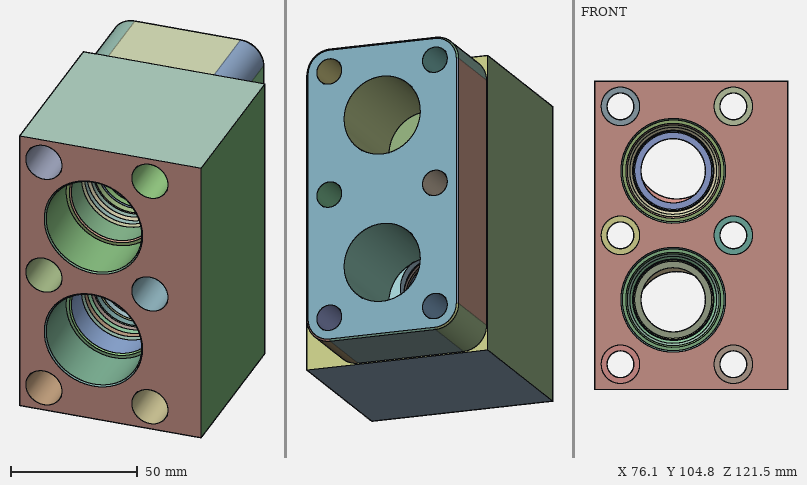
import cadquery as cq
import math

BLOCK_WIDTH = 76.1
BLOCK_DEPTH = 72.9
BLOCK_HEIGHT = 121.5

BOSS_WIDTH = 63.8
BOSS_HEIGHT = 120.5
BOSS_LENGTH = 31.9
BOSS_LEFT_INSET = 0.5
BOSS_CORNER_RADIUS = 9.7
BOSS_END_CHAMFER = 0.7

BOLT_PITCH_X = 44.5
BOLT_PITCH_Z = 50.8
BOLT_LEFT_X = 10.2
BOLT_DIAMETER = 10.5
COUNTERBORE_DIAMETER = 15.2
COUNTERBORE_DEPTH = 36.4

PORT_X = 31.0
PORT_MOUTH_RADIUS = 20.6
PORT_RADIUS = 20.0
PORT_DEPTH = 23.4
SEAT_INNER_RADIUS = 18.7
SOCKET_RADII = (18.1, 17.1, 16.0, 15.7, 15.2)
FIRST_SOCKET_LENGTH = 12.1
SOCKET_STEP_LENGTH = 3.6

DRILL_RADIUS = 12.6
DRILL_DEPTH = 54.6
DRILL_POINT_ANGLE = 118.0

REAR_BORE_RADIUS = 16.0
REAR_BORE_X = BOSS_LEFT_INSET + BOSS_WIDTH / 2
REAR_BORE_PITCH_Z = 60.7

TOTAL_DEPTH = BLOCK_DEPTH + BOSS_LENGTH
BOLT_COLUMNS = (BOLT_LEFT_X, BOLT_LEFT_X + BOLT_PITCH_X)
BOLT_ROWS = (-BOLT_PITCH_Z, 0, BOLT_PITCH_Z)
BACKWARD = cq.Vector(0, 1, 0)


def make_body():
    block = cq.Workplane("XY").box(
        BLOCK_WIDTH, BLOCK_DEPTH, BLOCK_HEIGHT, centered=(False, False, True)
    )
    boss = (
        cq.Workplane("XY")
        .box(BOSS_WIDTH, BOSS_LENGTH, BOSS_HEIGHT, centered=(False, False, True))
        .edges("|Y")
        .fillet(BOSS_CORNER_RADIUS)
        .faces(">Y")
        .chamfer(BOSS_END_CHAMFER)
        .translate((BOSS_LEFT_INSET, BLOCK_DEPTH, 0))
    )
    return block.union(boss)


def make_bolt_hole(x, z):
    front = cq.Vector(x, 0, z)
    shank = cq.Solid.makeCylinder(BOLT_DIAMETER / 2, TOTAL_DEPTH, front, BACKWARD)
    counterbore = cq.Solid.makeCylinder(COUNTERBORE_DIAMETER / 2, COUNTERBORE_DEPTH, front, BACKWARD)
    return shank.fuse(counterbore)


def make_port(z):
    """Stepped bore with a drill point, drawn as radius against depth and revolved about its axis."""
    points = [
        (0, 0),
        (PORT_MOUTH_RADIUS, 0),
        (PORT_RADIUS, PORT_MOUTH_RADIUS - PORT_RADIUS),
        (PORT_RADIUS, PORT_DEPTH),
    ]

    outer_radius = SEAT_INNER_RADIUS
    start_depth = PORT_DEPTH
    length = FIRST_SOCKET_LENGTH
    for radius in SOCKET_RADII:
        points.append((outer_radius, start_depth))
        points.append((radius, start_depth + outer_radius - radius))
        outer_radius = radius
        start_depth += length
        length = SOCKET_STEP_LENGTH
    points.append((outer_radius, start_depth))

    drill_point_length = DRILL_RADIUS / math.tan(math.radians(DRILL_POINT_ANGLE / 2))
    points += [
        (DRILL_RADIUS, start_depth),
        (DRILL_RADIUS, DRILL_DEPTH),
        (0, DRILL_DEPTH + drill_point_length),
    ]
    return (
        cq.Workplane("XY")
        .polyline(points)
        .close()
        .revolve(360, (0, 0, 0), (0, 1, 0))
        .translate((PORT_X, 0, z))
    )


def make_rear_bore(z):
    floor = cq.Vector(REAR_BORE_X, DRILL_DEPTH, z)
    return cq.Solid.makeCylinder(REAR_BORE_RADIUS, TOTAL_DEPTH - DRILL_DEPTH, floor, BACKWARD)


result = make_body()

for bolt_x in BOLT_COLUMNS:
    for bolt_z in BOLT_ROWS:
        result = result.cut(cq.Workplane(make_bolt_hole(bolt_x, bolt_z)))

for side in (-1, 1):
    result = result.cut(make_port(side * BOLT_PITCH_Z / 2))
    result = result.cut(cq.Workplane(make_rear_bore(side * REAR_BORE_PITCH_Z / 2)))